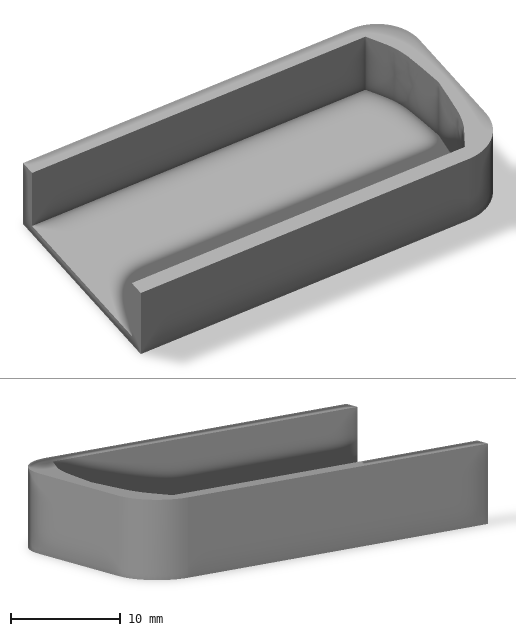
import cadquery as cq

width = 20.6
length = 39.5
height = 7.5
corner_radius = 4.5

side_wall = 1.58
floor_thickness = 1.0
peak_wall = 1.5
shoulder_inset = 2.53
shoulder_half_width = 6.0
side_inset = 4.0

back = length / 2
front = -length / 2
pocket_half_width = width / 2 - side_wall


def make_body():
    block = cq.Workplane("XY").box(width, length, height, centered=(True, True, False))
    return block.edges("|Z and >Y").fillet(corner_radius)


def make_pocket():
    """Open-fronted pocket whose end wall is two mirrored curves meeting at a ridge."""
    peak = (0, back - peak_wall)
    right_shoulder = (shoulder_half_width, back - shoulder_inset)
    left_shoulder = (-shoulder_half_width, back - shoulder_inset)
    right_end = (pocket_half_width, back - side_inset)
    left_end = (-pocket_half_width, back - side_inset)

    ridge_run = shoulder_half_width
    ridge_drop = shoulder_inset - peak_wall
    end_run = pocket_half_width - shoulder_half_width
    end_drop = side_inset - shoulder_inset

    outline = (
        cq.Workplane("XY", origin=(0, 0, floor_thickness))
        .moveTo(-pocket_half_width, front)
        .lineTo(pocket_half_width, front)
        .lineTo(*right_end)
        .spline(
            [right_shoulder, peak],
            tangents=[(-end_run, end_drop), (-ridge_run, ridge_drop)],
            includeCurrent=True,
        )
        .spline(
            [left_shoulder, left_end],
            tangents=[(-ridge_run, -ridge_drop), (-end_run, -end_drop)],
            includeCurrent=True,
        )
        .close()
    )
    return outline.extrude(height - floor_thickness)


result = make_body().cut(make_pocket())